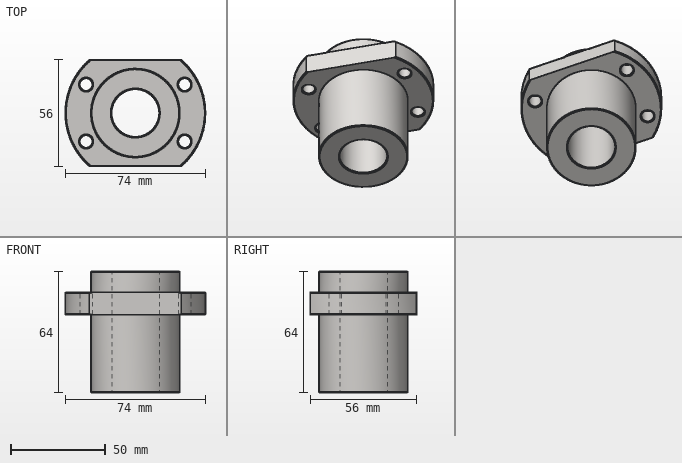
import cadquery as cq

total_height = 64.0
body_diameter = 47.0
bore_diameter = 25.0
edge_chamfer = 0.5

flange_diameter = 74.0
flange_width = 56.0
flange_bottom = 41.0
flange_thickness = 12.0

bolt_circle_diameter = 59.95
bolt_angle = 30.0
bolt_hole_diameter = 6.6


def chamfered_cylinder(diameter, height, bottom):
    """Cylinder with both end edges chamfered."""
    cylinder = cq.Workplane("XY").workplane(offset=bottom).circle(diameter / 2).extrude(height)
    return cylinder.edges("%CIRCLE").chamfer(edge_chamfer)


def chamfered_hole(diameter, bottom, height):
    """Cutter for a through hole with a chamfer at each mouth."""
    radius = diameter / 2
    top = bottom + height
    mouth_radius = radius + edge_chamfer
    profile = [
        (0, bottom),
        (mouth_radius, bottom),
        (radius, bottom + edge_chamfer),
        (radius, top - edge_chamfer),
        (mouth_radius, top),
        (0, top),
    ]
    return cq.Workplane("XZ").polyline(profile).close().revolve(360, (0, 0), (0, 1))


def make_flange():
    """Chamfered disc cut by two flats and drilled for the bolts."""
    disc = chamfered_cylinder(flange_diameter, flange_thickness, flange_bottom)
    between_flats = cq.Workplane("XY").box(
        flange_diameter, flange_width, total_height, centered=(True, True, False)
    )
    flange = disc.intersect(between_flats)

    bolt_hole = chamfered_hole(bolt_hole_diameter, flange_bottom, flange_thickness)
    bolt_hole = bolt_hole.translate((bolt_circle_diameter / 2, 0, 0))
    for angle in (bolt_angle, 180 - bolt_angle, 180 + bolt_angle, -bolt_angle):
        flange = flange.cut(bolt_hole.rotate((0, 0, 0), (0, 0, 1), angle))
    return flange


body = chamfered_cylinder(body_diameter, total_height, 0)
bore = chamfered_hole(bore_diameter, 0, total_height)
result = body.union(make_flange()).cut(bore)